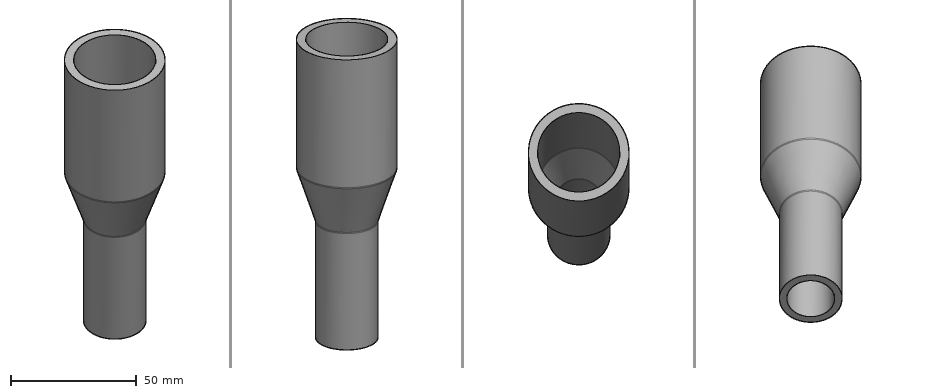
import cadquery as cq

total_height = 130.0
large_outer_diameter = 40.0
small_outer_diameter = 25.0
large_bore_diameter = 32.6
small_bore_diameter = 19.0

taper_bottom = 51.1
taper_top = 74.0

blend_radius = 2.0

edge_margin = 1.3


def stepped_body(small_diameter, large_diameter):
    """Solid of revolution: small cylinder, blended taper, large cylinder."""
    small_radius = small_diameter / 2
    large_radius = large_diameter / 2
    body = (
        cq.Workplane("XZ")
        .moveTo(0, 0)
        .lineTo(small_radius, 0)
        .lineTo(small_radius, taper_bottom)
        .lineTo(large_radius, taper_top)
        .lineTo(large_radius, total_height)
        .lineTo(0, total_height)
        .close()
        .revolve(360, (0, 0, 0), (0, 1, 0))
    )
    taper_edges = cq.selectors.BoxSelector(
        (-large_radius, -large_radius, taper_bottom - edge_margin),
        (large_radius, large_radius, taper_top + edge_margin),
    )
    return body.edges("%CIRCLE").edges(taper_edges).fillet(blend_radius)


outside = stepped_body(small_outer_diameter, large_outer_diameter)
bore = stepped_body(small_bore_diameter, large_bore_diameter)
result = outside.cut(bore)